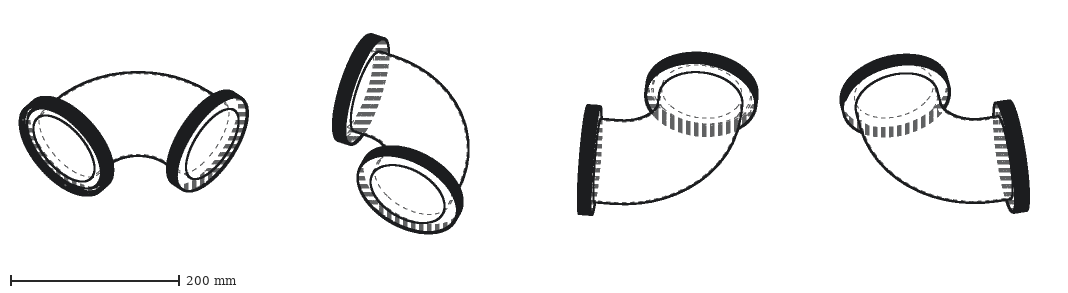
import cadquery as cq
pipe_diameter = 100.0
bore_diameter = 96.0
bend_radius = 90.0
front_face_distance = 124.28
side_face_distance = 129.06

front_collar_diameter = 133.0
front_collar_length = 16.5

side_collar_diameter = 130.0
side_collar_length = 17.0
side_back_cone_height = 1.8

recess_radius = 64.0
recess_floor_depth = 6.0
land_depth = 3.7
land_base_radius = 59.7
land_top_radius = 58.2

thread_pitch = 3.0
thread_depth = 1.2
thread_mouth_width = 1.6
thread_root_width = 0.6
thread_overrun = 0.2

pipe_radius = pipe_diameter / 2
bore_radius = bore_diameter / 2


def place_front(body):
    """Move a body built along +Z so that its Z=0 face becomes the -Y end face."""
    return body.rotate((0, 0, 0), (1, 0, 0), -90).translate((0, -front_face_distance, 0))


def place_side(body):
    """Move a body built along +Z so that its Z=0 face becomes the +X end face."""
    return body.rotate((0, 0, 0), (0, 1, 0), -90).translate((side_face_distance, 0, 0))


def elbow(radius, front_end):
    """Solid rod that follows the pipe centre line from Y=-front_end to the +X end face."""
    centre_line = (
        cq.Workplane("XY")
        .moveTo(0, -front_end)
        .lineTo(0, -bend_radius)
        .radiusArc((bend_radius, 0), bend_radius)
        .lineTo(side_face_distance, 0)
    )
    start = cq.Workplane("XZ", origin=(0, -front_end, 0))
    return start.circle(radius).sweep(centre_line)


def threaded_blank(crest_radius, collar_length):
    """Threaded rod along +Z that is longer than the collar to be trimmed from it at both ends."""
    helix_length = collar_length + 2 * thread_pitch
    blank_length = helix_length + 4 * thread_pitch
    blank = (
        cq.Workplane("XY", origin=(0, 0, -3 * thread_pitch))
        .circle(crest_radius)
        .extrude(blank_length)
    )
    flank_slope = (thread_mouth_width - thread_root_width) / (2 * thread_depth)
    half_mouth = thread_mouth_width / 2 + thread_overrun * flank_slope
    half_root = thread_root_width / 2
    outside = crest_radius + thread_overrun
    root = crest_radius - thread_depth
    groove = (
        cq.Workplane("XZ")
        .polyline([
            (outside, -half_mouth),
            (outside, half_mouth),
            (root, half_root),
            (root, -half_root),
        ])
        .close()
        .sweep(cq.Workplane(cq.Wire.makeHelix(thread_pitch, helix_length, crest_radius)), isFrenet=True)
        .translate((0, 0, -thread_pitch))
    )
    return blank.cut(groove)


def front_collar():
    """Threaded ring with a stepped recess sunk into its Z=0 face."""
    crest_radius = front_collar_diameter / 2
    trim = cq.Workplane("XY").circle(2 * crest_radius).extrude(front_collar_length)
    recess = (
        cq.Workplane("XZ")
        .polyline([
            (0, 0),
            (recess_radius, 0),
            (recess_radius, recess_floor_depth),
            (land_base_radius, recess_floor_depth),
            (land_top_radius, land_depth),
            (0, land_depth),
        ])
        .close()
        .revolve(360, (0, 0, 0), (0, 1, 0))
    )
    return threaded_blank(crest_radius, front_collar_length).intersect(trim).cut(recess)


def side_collar():
    """Threaded ring whose back face slopes from the pipe out to the thread."""
    crest_radius = side_collar_diameter / 2
    rim_length = side_collar_length - side_back_cone_height
    trim = (
        cq.Workplane("XZ")
        .polyline([
            (0, 0),
            (2 * crest_radius, 0),
            (2 * crest_radius, rim_length),
            (crest_radius, rim_length),
            (pipe_radius, side_collar_length),
            (0, side_collar_length),
        ])
        .close()
        .revolve(360, (0, 0, 0), (0, 1, 0))
    )
    return threaded_blank(crest_radius, side_collar_length).intersect(trim)


result = (
    elbow(pipe_radius, front_face_distance - land_depth)
    .union(place_front(front_collar()))
    .union(place_side(side_collar()))
    .cut(elbow(bore_radius, front_face_distance))
)